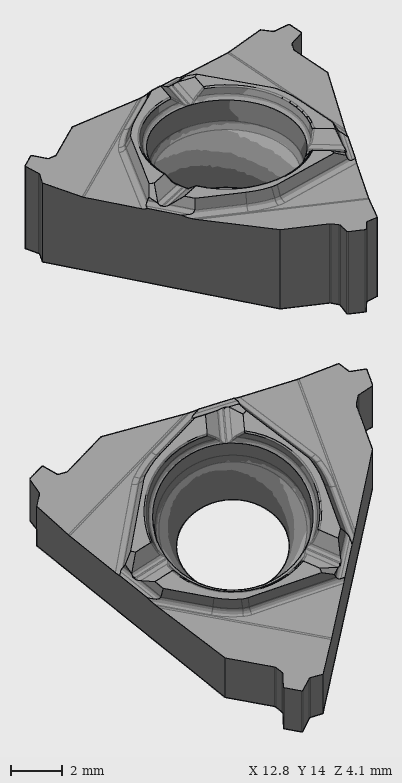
import cadquery as cq
import math

CORNERS = 3
CORNER_ANGLE = 360 / CORNERS

side_distance = 4.77
fold_direction = 90
side_direction = fold_direction - CORNER_ANGLE / 4
tip_centre_x = -3.76
tip_y = 6.88
tip_half_width = 0.38
root_half_width = 0.53
root_y = 6.23
relief_y = 6.03
shoulder_angle = 30
tip_radius = 0.05
root_radius = 0.1
relief_radius = 0.13

top_z = 4.1
floor_z = 3.5
corner_slope = 10
fold_y = 4.28
fold_radius = 0.42

boss_radius = 3.74
slant_wall_distance = 3.64
slant_wall_direction = 121.8
boss_draft = 25
boss_foot_radius = 0.31
boss_edge_radius = 1.12

end_wall_distance = 4.24
end_wall_draft = 25
end_foot_radius = 0.22
step_z = 3.57

bevel_y = 2.43
bevel_angle = 30

groove_direction = 46
groove_floor_z = 3.61
groove_floor_half_width = 0.03
groove_wall_angle = 40
groove_radius = 0.32
groove_length = 5.6

throat_radius = 2.18
throat_z = 0.74
seat_radius = 2.24
seat_edge_radius = 3.01
seat_blend_radius = 0.49
bore_radius = 3.12
bore_top_z = 3.61
rim_radius = 3.4
rim_round = 0.077
rim_wall_angle = 70
rim_wall_z = 3.79

REACH = 9.79
CLEARANCE = 0.14
SLACK = 0.001


def tan(angle):
    return math.tan(math.radians(angle))


def turn(point, angle):
    """Rotate a 2D point about the hole axis."""
    a = math.radians(angle)
    return (point[0] * math.cos(a) - point[1] * math.sin(a),
            point[0] * math.sin(a) + point[1] * math.cos(a))


def meet(distance_1, heading_1, distance_2, heading_2):
    """Crossing of two lines, each given by its distance from the axis and its normal's heading."""
    a = math.radians(heading_1)
    b = math.radians(heading_2)
    det = math.sin(b - a)
    return ((distance_1 * math.sin(b) - distance_2 * math.sin(a)) / det,
            (distance_2 * math.cos(a) - distance_1 * math.cos(b)) / det)


def around(shape):
    """Repeat a shape at every corner."""
    copies = shape
    for i in range(1, CORNERS):
        copies = copies.union(shape.rotate((0, 0, 0), (0, 0, 1), -CORNER_ANGLE * i))
    return copies


def round_edges(shape, points, z, radius):
    """Fillet the edges passing the given points at height z, at every corner."""
    edges = []
    for i in range(CORNERS):
        for point in points:
            x, y = turn(point, -CORNER_ANGLE * i)
            edges += shape.edges(cq.selectors.NearestToPointSelector((x, y, z))).vals()
    return shape.newObject(edges).fillet(radius)


def at_height(z, half_width):
    """Select edges centred at height z, within a square about the axis."""
    low = (-half_width, -half_width, z - SLACK)
    high = (half_width, half_width, z + SLACK)
    return cq.selectors.BoxSelector(low, high)


def outline_prism(height):
    """Full-height body, with one tooth at every corner."""
    root_left = tip_centre_x - root_half_width
    root_right = tip_centre_x + root_half_width
    slope = tan(shoulder_angle)
    corner = [
        (-side_distance, root_y - (root_left + side_distance) * slope),
        (root_left, root_y),
        (tip_centre_x - tip_half_width, tip_y),
        (tip_centre_x + tip_half_width, tip_y),
        (root_right, root_y),
        (root_right + (root_y - relief_y) / slope, relief_y),
        meet(relief_y, fold_direction, side_distance, side_direction),
    ]
    points = [turn(p, -CORNER_ANGLE * i) for i in range(CORNERS) for p in corner]
    prism = cq.Workplane("XY").polyline(points).close().extrude(height)
    prism = round_edges(prism, corner[2:4], height / 2, tip_radius)
    prism = round_edges(prism, [corner[5]], height / 2, relief_radius)
    return round_edges(prism, [corner[1], corner[4]], height / 2, root_radius)


def corner_land():
    """Wedge under the rising land of the +Y corner, blended into the floor at the fold."""
    blend = fold_radius * tan(corner_slope / 2)
    a = math.radians(corner_slope)
    start_y = fold_y - blend
    blend_end = (start_y + fold_radius * math.sin(a), floor_z + fold_radius * (1 - math.cos(a)))
    blend_mid = (start_y + fold_radius * math.sin(a / 2), floor_z + fold_radius * (1 - math.cos(a / 2)))
    return (
        cq.Workplane("YZ")
        .moveTo(start_y, 0)
        .lineTo(start_y, floor_z)
        .threePointArc(blend_mid, blend_end)
        .lineTo(REACH, floor_z + (REACH - fold_y) * tan(corner_slope))
        .lineTo(REACH, 0)
        .close()
        .extrude(REACH, both=True)
    )


def boss():
    """Boss on a wide slab, so that its foot blends into the floor before it is trimmed."""
    height = top_z - floor_z
    spread = height * tan(boss_draft)
    floor_radius = boss_radius + spread
    floor_distance = slant_wall_distance + spread
    arc_start = math.radians(slant_wall_direction) - math.acos(floor_distance / floor_radius)

    def on_arc(angle):
        return (floor_radius * math.cos(angle), floor_radius * math.sin(angle))

    first = meet(floor_distance, slant_wall_direction, floor_radius, fold_direction + CORNER_ANGLE)
    mid = on_arc((arc_start + math.pi / 2) / 2)
    outline = cq.Workplane("XY", origin=(0, 0, floor_z)).moveTo(*first)
    for i in range(CORNERS):
        spin = -CORNER_ANGLE * i
        outline = outline.lineTo(*turn(on_arc(arc_start), spin))
        outline = outline.threePointArc(turn(mid, spin), turn((0, floor_radius), spin))
        if i < CORNERS - 1:
            outline = outline.lineTo(*turn(first, spin - CORNER_ANGLE))
    walls = outline.close().extrude(height, taper=boss_draft)
    halfway = 1 - spread / 2 / floor_radius
    x, y = on_arc(arc_start)
    walls = round_edges(walls, [(x * halfway, y * halfway)], (floor_z + top_z) / 2, boss_edge_radius)
    slab = cq.Workplane("XY").rect(2 * REACH, 2 * REACH).extrude(floor_z)
    joined = slab.union(walls)
    foot = joined.edges(at_height(floor_z, REACH / 2))
    return foot.fillet(boss_foot_radius)


def side_step():
    """Space above the step along the long side beside the groove."""
    a = math.radians(end_wall_draft)
    rise = end_foot_radius * (1 - math.sin(a))
    wall_foot = end_wall_distance + (top_z - step_z - rise) * tan(end_wall_draft)
    foot_end = wall_foot + end_foot_radius * math.cos(a)
    return (
        cq.Workplane("XZ")
        .moveTo(end_wall_distance, top_z)
        .lineTo(wall_foot, step_z + rise)
        .tangentArcPoint((foot_end, step_z), relative=False)
        .lineTo(REACH, step_z)
        .lineTo(REACH, top_z)
        .close()
        .extrude(REACH, both=True)
        .rotate((0, 0, 0), (0, 0, 1), side_direction)
    )


def bevel():
    """Sloping cut on the clockwise side of the groove."""
    slope = (
        cq.Workplane("YZ")
        .moveTo(bevel_y, top_z)
        .lineTo(REACH, top_z)
        .lineTo(REACH, top_z - (REACH - bevel_y) * tan(bevel_angle))
        .close()
        .extrude(REACH, both=True)
    )
    beside_groove = (
        cq.Workplane("XY", origin=(0, 0, groove_floor_z))
        .moveTo(0, -groove_floor_half_width)
        .rect(REACH, -REACH, centered=False)
        .extrude(top_z - groove_floor_z)
        .rotate((0, 0, 0), (0, 0, 1), groove_direction)
    )
    return slope.intersect(beside_groove)


def groove():
    """V-groove with a narrow flat floor and rounded roots, running outwards from the axis."""
    half = groove_floor_half_width
    a = math.radians(groove_wall_angle)
    foot_x = half + groove_radius * math.sin(a)
    foot_z = groove_floor_z + groove_radius * (1 - math.cos(a))
    mid_x = half + groove_radius * math.sin(a / 2)
    mid_z = groove_floor_z + groove_radius * (1 - math.cos(a / 2))
    groove_top_z = top_z + CLEARANCE
    edge_x = foot_x + (groove_top_z - foot_z) / tan(groove_wall_angle)
    return (
        cq.Workplane("YZ")
        .moveTo(-half, groove_floor_z)
        .lineTo(half, groove_floor_z)
        .threePointArc((mid_x, mid_z), (foot_x, foot_z))
        .lineTo(edge_x, groove_top_z)
        .lineTo(-edge_x, groove_top_z)
        .lineTo(-foot_x, foot_z)
        .threePointArc((-mid_x, mid_z), (-half, groove_floor_z))
        .close()
        .extrude(groove_length)
        .rotate((0, 0, 0), (0, 0, 1), groove_direction)
    )


def seat_height(radius):
    """Height of the convex screw seat at a given radius."""
    return throat_z + math.sqrt(seat_radius**2 - (throat_radius + seat_radius - radius) ** 2)


def hole():
    """Stepped screw hole, from the rim down to the flare below the throat."""
    centre = throat_radius + seat_radius
    bottom_radius = centre - math.sqrt(seat_radius**2 - throat_z**2)
    seat_edge_z = seat_height(seat_edge_radius)
    wall_end = (rim_radius - (top_z - rim_wall_z) / tan(rim_wall_angle), rim_wall_z)
    cutter = (
        cq.Workplane("XZ")
        .moveTo(0, top_z)
        .lineTo(rim_radius, top_z)
        .lineTo(*wall_end)
        .tangentArcPoint((bore_radius, bore_top_z), relative=False)
        .lineTo(seat_edge_radius, seat_edge_z)
        .threePointArc((throat_radius, throat_z), (bottom_radius, 0))
        .lineTo(0, 0)
        .close()
        .revolve(360, (0, 0, 0), (0, 1, 0))
    )
    seat_edge = cutter.edges(at_height(seat_edge_z, REACH))
    return seat_edge.fillet(seat_blend_radius)


def on_rim(edge):
    """Tell whether an edge bounds the conical rim wall from above or beside a groove."""
    ends = (edge.startPoint(), edge.endPoint())
    radii = [math.hypot(end.x, end.y) for end in ends]
    heights = [end.z for end in ends]
    return (
        max(radii) < rim_radius + SLACK
        and min(heights) > rim_wall_z - SLACK
        and max(heights) > top_z - SLACK
    )


prism = outline_prism(top_z)
lands = around(corner_land())
upper = boss().cut(around(side_step())).cut(around(bevel())).cut(around(groove()))
insert = upper.union(lands).intersect(prism).cut(hole())
result = insert.edges().filter(on_rim).fillet(rim_round)